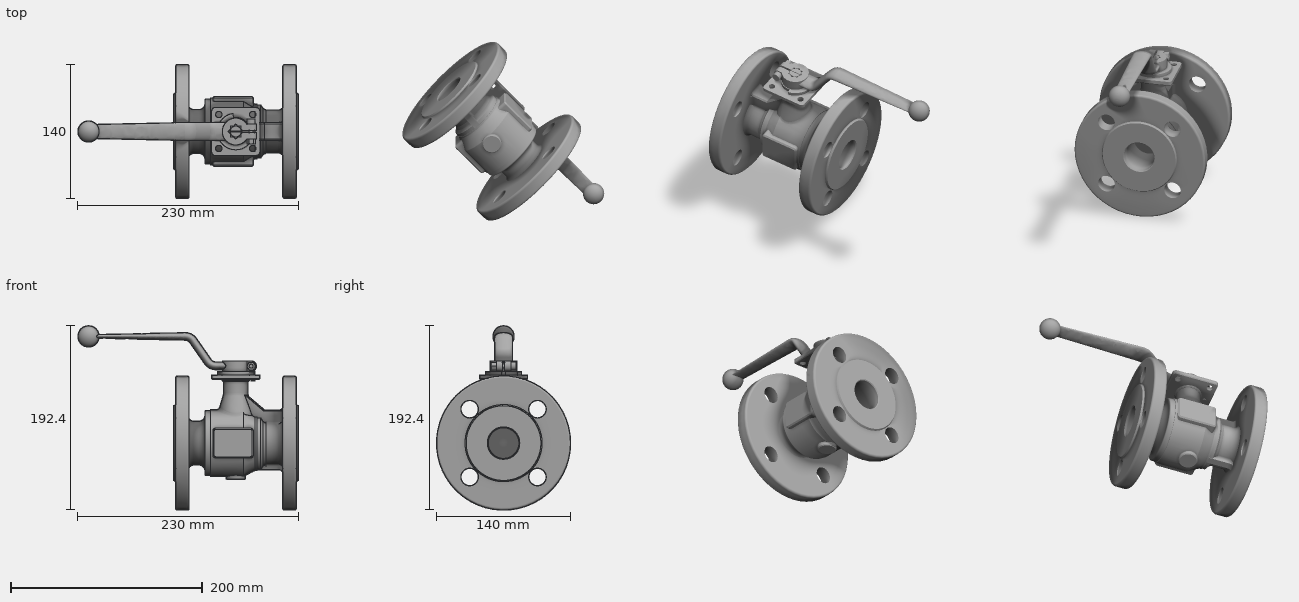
import cadquery as cq
import math


FLANGE_D = 140.0
LEFT_FACE_X = -64.9
RIGHT_FACE_X = 65.3
FLANGE_T = 14.3
FLANGE_ROUND = 2.3
RAISED_H = 2.0
RAISED_FACE_D = 78.0
RAISED_BASE_D = 80.5
LEFT_FLANGE_BACK_X = LEFT_FACE_X + RAISED_H + FLANGE_T
RIGHT_FLANGE_BACK_X = RIGHT_FACE_X - RAISED_H - FLANGE_T
BOLT_HOLE_D = 18.0
BOLT_CIRCLE_D = 100.0
BORE_D = 32.0
BORE_MOUTH_CHAMFER = 1.0
BORE_DEPTH = 43.7

LEFT_NECK_R = 23.0
RIGHT_NECK_R = 22.5
FLARE_R = 5.0
FLARE_ANGLE = math.radians(60)
SHOULDER_X = -32.2
SHOULDER_ARC_R = 6.0
RING_R = 34.0
RING_ROUND = 1.5
BODY_X = -26.5
BODY_R = 35.0
TAPER_START_X = 8.0
TAPER_END_X = 20.2
STEP_R = 28.5
STEP_DROP = 0.7
STEP_X = 22.0
STEP_END_X = 26.0
CONE_END_X = 28.3
CONE_END_R = 24.4
RIGHT_NECK_X = 31.5

PAD_X = (-24.0, 18.5)
PAD_HEIGHT = 31.3
PAD_Y = 36.5
PAD_CORNER_R = 3.2
PAD_CHAMFER = 1.4

BOSS_D = 20.0
BOSS_BOTTOM_Z = -38.2
BOSS_CHAMFER = 1.0

UPPER_RIB_W = 18.5
LOWER_RIB_W = 7.0
RIB_CHAMFER = 1.4
RIB_ROOT_R = 2.3
RIB_TOP_Z = 34.7
RIB_BOTTOM_Z = -28.0
RIB_SLOPE_TOP = (11.5, 50.4)
RIB_SLOPE_END_X = 30.0
RIB_FLARE = 3.2

HOUSING_D = 25.8
HOUSING_CONE_TOP_Z = 50.5
HOUSING_TAPER = math.radians(16.5)
HOUSING_BLEND_R = 9.2
HOUSING_ROOT_R = 3.5
COLLAR_D = 28.8
COLLAR_H = 2.0
COLLAR_CHAMFER = 1.2

PLATE_W = 50.1
PLATE_BOTTOM_Z = 66.2
PLATE_TOP_Z = 70.8
PLATE_CORNER_R = 3.7
PLATE_CHAMFER = 1.0
PLATE_HOLE_D = 6.7
PLATE_HOLE_SPACING = 35.5

DISC_D = 38.2
DISC_NOTCH_D = 29.5
DISC_TOP_Z = 74.5
NOTCH_START = math.radians(-7)
NOTCH_END = math.radians(99)
PIN_D = 4.1
PIN_X = 18.2
PIN_BOTTOM_Z = 64.9

HUB_D = 28.0
HUB_TOP_Z = 85.8
EAR_X = 16.0
EAR_Z = 80.3
EAR_R = 5.5
EAR_W = 15.2
SLIT_W = 2.3
SLIT_START_X = 6.5
HEAD_D = 8.5
HEAD_H = 5.3
NUT_CORNER_D = 9.0
SCREW_D = 4.1
SOCKET_DEPTH = 1.8
STEM_END_D = 11.5
STAR_D = 15.9
STAR_DEPTH = 1.8
MARK_W = 0.7

LEVER_START_X = -9.2
LEVER_W = 18.9
LEVER_T = 8.3
LEVER_Z = 80.5
GRIP_Z = 111.3
CRANK_LOW_X = -26.0
CRANK_HIGH_X = -47.4
BEND_R = 10.4
GRIP_TIP_W = 14.7
GRIP_TIP_T = 3.7
BALL_D = 22.3
LEVER_END_X = -164.7


def make_flange(face_x, inward):
    """Turned flange with a raised face; inward is +1 or -1 along X."""
    front_x = face_x + inward * RAISED_H
    back_x = face_x + inward * (RAISED_H + FLANGE_T)
    flange = (
        cq.Workplane("YZ", origin=(min(front_x, back_x), 0, 0))
        .circle(FLANGE_D / 2)
        .extrude(FLANGE_T)
        .edges()
        .fillet(FLANGE_ROUND)
    )
    raised = (
        cq.Workplane("XY")
        .moveTo(face_x, 0)
        .lineTo(face_x, RAISED_FACE_D / 2)
        .lineTo(front_x, RAISED_BASE_D / 2)
        .lineTo(back_x, RAISED_BASE_D / 2)
        .lineTo(back_x, 0)
        .close()
        .revolve(360, (0, 0, 0), (1, 0, 0))
    )
    return flange.union(raised)


def make_body():
    left_x = LEFT_FLANGE_BACK_X
    right_x = RIGHT_FLANGE_BACK_X
    flare_length = FLARE_R * math.sin(FLARE_ANGLE)
    flare_rise = FLARE_R * (1 - math.cos(FLARE_ANGLE))
    return (
        cq.Workplane("XY")
        .moveTo(left_x, 0)
        .lineTo(left_x, LEFT_NECK_R + flare_rise)
        .radiusArc((left_x + flare_length, LEFT_NECK_R), -FLARE_R)
        .lineTo(SHOULDER_X - SHOULDER_ARC_R, LEFT_NECK_R)
        .radiusArc((SHOULDER_X, LEFT_NECK_R + SHOULDER_ARC_R), -SHOULDER_ARC_R)
        .lineTo(SHOULDER_X, RING_R - RING_ROUND)
        .radiusArc((SHOULDER_X + RING_ROUND, RING_R), RING_ROUND)
        .lineTo(BODY_X, RING_R)
        .lineTo(BODY_X, BODY_R)
        .lineTo(TAPER_START_X, BODY_R)
        .lineTo(TAPER_END_X, STEP_R)
        .lineTo(STEP_X, STEP_R)
        .lineTo(STEP_X, STEP_R - STEP_DROP)
        .lineTo(STEP_END_X, STEP_R - STEP_DROP)
        .lineTo(CONE_END_X, CONE_END_R)
        .lineTo(RIGHT_NECK_X, RIGHT_NECK_R)
        .lineTo(right_x - flare_length, RIGHT_NECK_R)
        .radiusArc((right_x, RIGHT_NECK_R + flare_rise), -FLARE_R)
        .lineTo(right_x, 0)
        .close()
        .revolve(360, (0, 0, 0), (1, 0, 0))
    )


def make_housing():
    radius = HOUSING_D / 2
    root_radius = radius + HOUSING_CONE_TOP_Z * math.tan(HOUSING_TAPER)
    return (
        cq.Workplane("XZ")
        .lineTo(root_radius, 0)
        .lineTo(radius, HOUSING_CONE_TOP_Z)
        .lineTo(radius, PLATE_BOTTOM_Z)
        .lineTo(0, PLATE_BOTTOM_Z)
        .close()
        .revolve(360, (0, 0, 0), (0, 1, 0))
        .edges(cq.selectors.NearestToPointSelector((0, 0, HOUSING_CONE_TOP_Z)))
        .fillet(HOUSING_BLEND_R)
    )


def make_housing_root():
    """Rounded root of the housing, along the straight barrel of the body only."""
    barrel = (
        cq.Workplane("YZ", origin=(BODY_X, 0, 0))
        .circle(BODY_R)
        .extrude(RIGHT_NECK_X - BODY_X)
        .union(make_housing())
        .edges("%BSPLINE")
        .fillet(HOUSING_ROOT_R)
    )
    length = TAPER_START_X - BODY_X
    straight_part = (
        cq.Workplane("XY")
        .box(length, 2 * BODY_R, 2 * HOUSING_CONE_TOP_Z)
        .translate((BODY_X + length / 2, 0, 0))
    )
    return barrel.intersect(straight_part)


def make_rib_root(width, height):
    """Length of neck with a rounded root along a rib; a negative height points down."""
    length = RIGHT_FLANGE_BACK_X - RIGHT_NECK_X
    rib = cq.Workplane("XY").box(length, width, abs(height)).translate((length / 2, 0, height / 2))
    neck = cq.Workplane("YZ").circle(RIGHT_NECK_R).extrude(length)
    root_z = math.copysign(math.sqrt(RIGHT_NECK_R**2 - width**2 / 4), height)
    front_corner = cq.selectors.NearestToPointSelector((length / 2, -width / 2, root_z))
    back_corner = cq.selectors.NearestToPointSelector((length / 2, width / 2, root_z))
    rooted = neck.union(rib).edges(front_corner + back_corner).fillet(RIB_ROOT_R)
    return rooted.translate((RIGHT_NECK_X, 0, 0))


def make_upper_rib():
    flange_x = RIGHT_FLANGE_BACK_X
    rib = (
        cq.Workplane("XZ")
        .lineTo(0, RIB_SLOPE_TOP[1])
        .lineTo(*RIB_SLOPE_TOP)
        .lineTo(RIB_SLOPE_END_X, RIB_TOP_Z)
        .lineTo(flange_x - RIB_FLARE, RIB_TOP_Z)
        .radiusArc((flange_x, RIB_TOP_Z + RIB_FLARE), -RIB_FLARE)
        .lineTo(flange_x, 0)
        .close()
        .extrude(UPPER_RIB_W / 2, both=True)
    )
    slope_middle_x = (RIB_SLOPE_TOP[0] + RIB_SLOPE_END_X) / 2
    slope_middle_z = (RIB_SLOPE_TOP[1] + RIB_TOP_Z) / 2
    flat_middle_x = (RIB_SLOPE_END_X + flange_x - RIB_FLARE) / 2
    half_width = UPPER_RIB_W / 2
    for y in (half_width, -half_width):
        slope_edge = cq.selectors.NearestToPointSelector((slope_middle_x, y, slope_middle_z))
        flat_edge = cq.selectors.NearestToPointSelector((flat_middle_x, y, RIB_TOP_Z))
        rib = rib.edges(slope_edge + flat_edge).chamfer(RIB_CHAMFER)
    root_height = RIB_TOP_Z - RIB_CHAMFER
    flared_half_width = half_width + RIB_FLARE
    side_flares = (
        cq.Workplane("XY")
        .moveTo(flange_x - RIB_FLARE, half_width)
        .radiusArc((flange_x, flared_half_width), -RIB_FLARE)
        .lineTo(flange_x, -flared_half_width)
        .radiusArc((flange_x - RIB_FLARE, -half_width), -RIB_FLARE)
        .close()
        .extrude(root_height)
    )
    return rib.union(make_rib_root(UPPER_RIB_W, root_height)).union(side_flares)


def make_lower_rib():
    flange_x = RIGHT_FLANGE_BACK_X
    rib = (
        cq.Workplane("XZ")
        .lineTo(0, RIB_BOTTOM_Z)
        .lineTo(flange_x - RIB_FLARE, RIB_BOTTOM_Z)
        .radiusArc((flange_x, RIB_BOTTOM_Z - RIB_FLARE), RIB_FLARE)
        .lineTo(flange_x, 0)
        .close()
        .extrude(LOWER_RIB_W / 2, both=True)
    )
    return rib.union(make_rib_root(LOWER_RIB_W, RIB_BOTTOM_Z))


def make_pads():
    length = PAD_X[1] - PAD_X[0]
    return (
        cq.Workplane("XY")
        .box(length, 2 * PAD_Y, PAD_HEIGHT)
        .translate(((PAD_X[0] + PAD_X[1]) / 2, 0, 0))
        .edges("|Y")
        .fillet(PAD_CORNER_R)
        .faces("<Y or >Y")
        .edges()
        .chamfer(PAD_CHAMFER)
    )


def make_drain_boss():
    return (
        cq.Workplane("XY", origin=(0, 0, BOSS_BOTTOM_Z))
        .circle(BOSS_D / 2)
        .extrude(-BOSS_BOTTOM_Z)
        .faces("<Z")
        .chamfer(BOSS_CHAMFER)
    )


def cylinder_z(diameter, bottom_z, top_z, x=0):
    """Upright cylinder between two heights."""
    return cq.Workplane("XY", origin=(x, 0, bottom_z)).circle(diameter / 2).extrude(top_z - bottom_z)


def make_plate():
    plate = (
        cq.Workplane("XY", origin=(0, 0, PLATE_BOTTOM_Z))
        .rect(PLATE_W, PLATE_W)
        .extrude(PLATE_TOP_Z - PLATE_BOTTOM_Z)
        .edges("|Z")
        .fillet(PLATE_CORNER_R)
        .faces("<Z")
        .chamfer(PLATE_CHAMFER)
        .faces(">Z")
        .workplane()
        .rect(PLATE_HOLE_SPACING, PLATE_HOLE_SPACING, forConstruction=True)
        .vertices()
        .hole(PLATE_HOLE_D)
    )
    collar = cylinder_z(COLLAR_D, PLATE_BOTTOM_Z - COLLAR_H, PLATE_BOTTOM_Z)
    collar = collar.faces("<Z").chamfer(COLLAR_CHAMFER)
    return plate.union(collar)


def make_stop():
    """Stop disc with a notch for a quarter turn, and the pin in that notch."""
    reach = DISC_D
    middle = (NOTCH_START + NOTCH_END) / 2
    corners = [(reach * math.cos(a), reach * math.sin(a)) for a in (NOTCH_START, middle, NOTCH_END)]
    disc = cylinder_z(DISC_D, PLATE_TOP_Z, DISC_TOP_Z)
    notch = (
        cq.Workplane("XY", origin=(0, 0, PLATE_TOP_Z))
        .polyline([(0, 0)] + corners)
        .close()
        .extrude(DISC_TOP_Z - PLATE_TOP_Z)
    )
    core = cylinder_z(DISC_NOTCH_D, PLATE_TOP_Z, DISC_TOP_Z)
    pin = cylinder_z(PIN_D, PIN_BOTTOM_Z, DISC_TOP_Z, PIN_X)
    return disc.cut(notch).union(core).union(pin)


def make_hub():
    hub = cylinder_z(HUB_D, DISC_TOP_Z, HUB_TOP_Z)
    ears = (
        cq.Workplane("XZ")
        .center(0, EAR_Z)
        .moveTo(0, -EAR_R)
        .lineTo(EAR_X, -EAR_R)
        .threePointArc((EAR_X + EAR_R, 0), (EAR_X, EAR_R))
        .lineTo(0, EAR_R)
        .close()
        .extrude(EAR_W / 2, both=True)
    )
    slit_length = EAR_X + EAR_R - SLIT_START_X
    slit = (
        cq.Workplane("XY", origin=(SLIT_START_X + slit_length / 2, 0, DISC_TOP_Z))
        .rect(slit_length, SLIT_W)
        .extrude(HUB_TOP_Z - DISC_TOP_Z)
    )
    return hub.union(ears).cut(slit)


def make_clamp_screw():
    axis = cq.Workplane("XZ", origin=(EAR_X, 0, EAR_Z))
    head_reach = EAR_W / 2 + HEAD_H
    screw = axis.circle(SCREW_D / 2).extrude(EAR_W / 2, both=True)
    head = axis.workplane(offset=-head_reach).circle(HEAD_D / 2).extrude(HEAD_H)
    nut = axis.workplane(offset=EAR_W / 2).polygon(6, NUT_CORNER_D).extrude(HEAD_H)
    recess = axis.workplane(offset=head_reach - SOCKET_DEPTH).circle(SCREW_D / 2).extrude(SOCKET_DEPTH)
    return screw.union(head).union(nut.cut(recess))


def make_star_recess():
    """Eight-pointed gap around the round stem end, and the stem's position mark."""
    plane = cq.Workplane("XY", origin=(0, 0, HUB_TOP_Z - STAR_DEPTH))
    side = STAR_D / math.sqrt(2)
    square = plane.rect(side, side).extrude(STAR_DEPTH)
    stem = plane.circle(STEM_END_D / 2).extrude(STAR_DEPTH)
    gap = square.union(square.rotate((0, 0, 0), (0, 0, 1), 45)).cut(stem)
    mark = plane.rect(STEM_END_D, MARK_W).extrude(STAR_DEPTH)
    return gap.union(mark)


def make_lever():
    crank_angle = math.atan2(GRIP_Z - LEVER_Z, CRANK_LOW_X - CRANK_HIGH_X)
    bend_length = BEND_R * math.tan(crank_angle / 2)
    bend_dx = bend_length * math.cos(crank_angle)
    bend_dz = bend_length * math.sin(crank_angle)
    grip_root_x = CRANK_HIGH_X - bend_length
    ball_x = LEVER_END_X + BALL_D / 2

    path = (
        cq.Workplane("XZ")
        .moveTo(LEVER_START_X, LEVER_Z)
        .lineTo(CRANK_LOW_X + bend_length, LEVER_Z)
        .radiusArc((CRANK_LOW_X - bend_dx, LEVER_Z + bend_dz), BEND_R)
        .lineTo(CRANK_HIGH_X + bend_dx, GRIP_Z - bend_dz)
        .radiusArc((grip_root_x, GRIP_Z), -BEND_R)
    )
    crank = (
        cq.Workplane("YZ", origin=(LEVER_START_X, 0, LEVER_Z))
        .ellipse(LEVER_W / 2, LEVER_T / 2)
        .sweep(path)
    )
    grip = (
        cq.Workplane("YZ", origin=(grip_root_x, 0, GRIP_Z))
        .ellipse(LEVER_W / 2, LEVER_T / 2)
        .workplane(offset=ball_x - grip_root_x)
        .ellipse(GRIP_TIP_W / 2, GRIP_TIP_T / 2)
        .loft(ruled=True)
    )
    ball = cq.Workplane("XY", origin=(ball_x, 0, GRIP_Z)).sphere(BALL_D / 2)
    return crank.union(grip).union(ball)


def bore_from(face_x, inward):
    """Blind bore with a chamfered mouth, reaching in from one flange face."""
    radius = BORE_D / 2
    end_x = face_x + inward * BORE_DEPTH
    return (
        cq.Workplane("XY")
        .moveTo(face_x, 0)
        .lineTo(face_x, radius + BORE_MOUTH_CHAMFER)
        .lineTo(face_x + inward * BORE_MOUTH_CHAMFER, radius)
        .lineTo(end_x, radius)
        .lineTo(end_x, 0)
        .close()
        .revolve(360, (0, 0, 0), (1, 0, 0))
    )


def make_bolt_holes():
    return (
        cq.Workplane("YZ", origin=(LEFT_FACE_X, 0, 0))
        .polarArray(BOLT_CIRCLE_D / 2, 45, 360, 4)
        .circle(BOLT_HOLE_D / 2)
        .extrude(RIGHT_FACE_X - LEFT_FACE_X)
    )


body = make_body().union(make_housing()).union(make_housing_root())

flanges = make_flange(LEFT_FACE_X, 1).union(make_flange(RIGHT_FACE_X, -1)).cut(make_bolt_holes())

result = body.union(flanges)
for feature in (
    make_upper_rib(),
    make_lower_rib(),
    make_pads(),
    make_drain_boss(),
    make_plate(),
    make_stop(),
    make_hub(),
    make_lever(),
    make_clamp_screw(),
):
    result = result.union(feature)
result = result.cut(make_star_recess())
for face_x, inward in ((LEFT_FACE_X, 1), (RIGHT_FACE_X, -1)):
    result = result.cut(bore_from(face_x, inward))